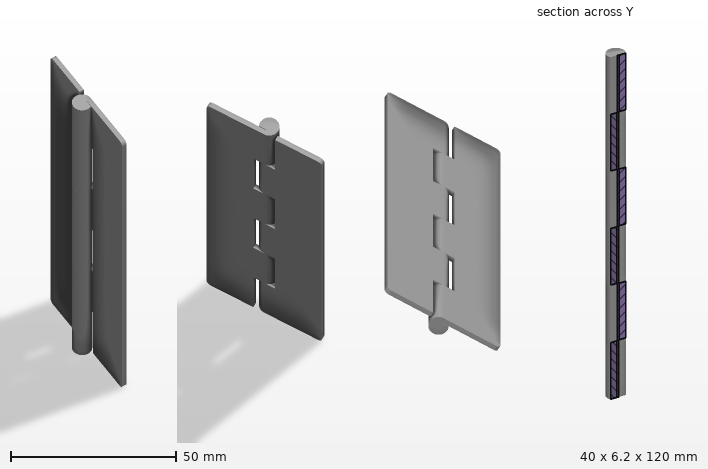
import cadquery as cq
import math


hinge_length = 120.0
open_width = 40.0
sheet_thickness = 1.6
pin_diameter = 3.0
knuckle_count = 6
knuckle_clearance = 0.7
roll_slit = 0.1
corner_radius = 1.5

leaf_width = open_width / 2
knuckle_length = hinge_length / knuckle_count
pin_radius = pin_diameter / 2
knuckle_radius = pin_radius + sheet_thickness
notch_reach = knuckle_radius + knuckle_clearance

roll_end_y = pin_radius - roll_slit
outer_end_angle = math.asin(roll_end_y / knuckle_radius)
inner_end_angle = math.asin(roll_end_y / pin_radius)


def on_circle(radius, angle):
    """Point at the given angle on a circle around the pin axis."""
    return (radius * math.cos(angle), radius * math.sin(angle))


def make_plate():
    """Flat sheet on the +X side, from the pin plane to the rounded outer edge."""
    return (
        cq.Workplane("XY")
        .box(leaf_width, sheet_thickness, hinge_length, centered=False)
        .translate((0, pin_radius, 0))
        .edges("|Y and >X")
        .fillet(corner_radius)
    )


def make_notch(bottom):
    """Clearance in the sheet for one knuckle of the other leaf."""
    return (
        cq.Workplane("XY")
        .box(notch_reach, sheet_thickness, knuckle_length, centered=False)
        .translate((0, pin_radius, bottom))
    )


def make_roll(bottom):
    """Sheet curled around the pin, from the top of the pin back to the sheet."""
    return (
        cq.Workplane("XY")
        .workplane(offset=bottom)
        .moveTo(0, knuckle_radius)
        .threePointArc((-knuckle_radius, 0), on_circle(knuckle_radius, outer_end_angle))
        .lineTo(*on_circle(pin_radius, inner_end_angle))
        .threePointArc((-pin_radius, 0), (0, pin_radius))
        .close()
        .extrude(knuckle_length)
    )


def make_leaf(first_knuckle):
    """Leaf on the +X side that owns every second knuckle, counted from the bottom."""
    leaf = make_plate()
    for index in range(knuckle_count):
        bottom = index * knuckle_length
        if index % 2 == first_knuckle:
            leaf = leaf.union(make_roll(bottom))
        else:
            leaf = leaf.cut(make_notch(bottom))
    return leaf


right_leaf = make_leaf(first_knuckle=1)
left_leaf = make_leaf(first_knuckle=0).mirror("YZ")

pin = cq.Workplane("XY").circle(pin_radius).extrude(hinge_length)

result = cq.Compound.makeCompound([right_leaf.val(), left_leaf.val(), pin.val()])